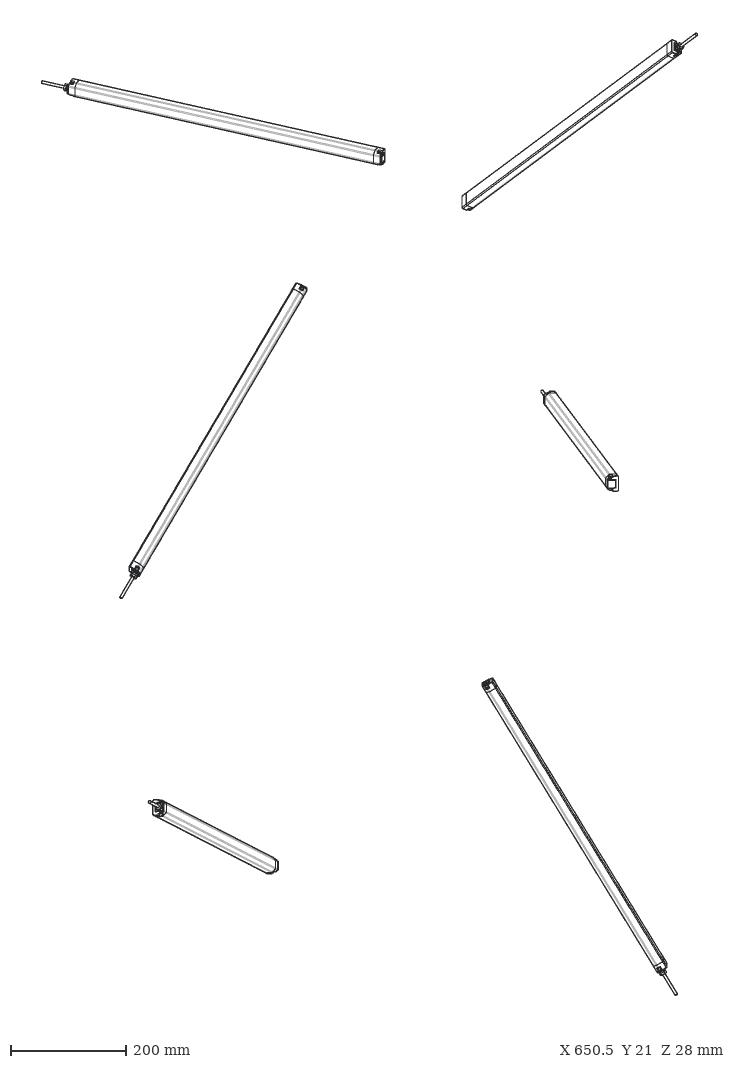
import cadquery as cq

total_length = 650.5
bar_length = 600.0
bar_height = 28.0
bar_depth = 21.0
front_y = -7.6

front_chamfer = 6.5
front_fillet = 2.8
back_chamfer = 2.0
profile_inset = 0.1

cap_length = 13.0
cap_end_chamfer = 0.8
plate_thickness = 2.5
plate_chamfer = 1.2
plate_height = 15.6
plate_front_gap = 0.2
plate_back_y = 8.0

pocket_length = 7.5
pocket_back_y = 3.2
pocket_depth = 3.0
screw_hole_diameter = 4.5
screw_hole_depth = 2.0

cable_diameter = 5.0
nut_corner_diameter = 12.4
nut_length = 4.0
collar_diameter = 9.5
collar_length = 3.0

half_height = bar_height / 2
back_y = front_y + bar_depth
bar_start = total_length - bar_length
left_end = bar_start + plate_thickness
right_end = total_length - plate_thickness
plate_front_y = front_y + plate_front_gap
pocket_floor_z = half_height - pocket_depth
pocket_front_y = front_y + front_chamfer - pocket_depth


def make_box(x_range, y_range, z_range):
    """Box between two limits on each axis."""
    sizes = [high - low for low, high in (x_range, y_range, z_range)]
    return (
        cq.Workplane("XY", origin=(x_range[0], y_range[0], z_range[0]))
        .box(*sizes, centered=False)
    )


def make_bar_section(x_range, inset=0.0):
    """Length of bar with rounded front chamfers and plain back chamfers."""
    z_limit = half_height - inset
    section = make_box(x_range, (front_y + inset, back_y - inset), (-z_limit, z_limit))
    section = section.edges("|X and <Y").chamfer(front_chamfer)
    section = section.edges("|X").edges("not >Y").fillet(front_fillet)
    return section.edges("|X and >Y").chamfer(back_chamfer)


def make_pocket_cutter(x_range, side):
    """Corner pocket with a screw hole in its floor; side is +1 for top, -1 for bottom."""
    pocket = make_box(x_range, (front_y, pocket_back_y), (pocket_floor_z, half_height))
    hole_center = (sum(x_range) / 2, (pocket_front_y + pocket_back_y) / 2)
    screw_hole = (
        cq.Workplane("XY", origin=(*hole_center, pocket_floor_z))
        .circle(screw_hole_diameter / 2)
        .extrude(-screw_hole_depth)
    )
    cutter = pocket.union(screw_hole)
    return cutter if side > 0 else cutter.mirror("XY")


def make_cap(x_range, outer_face, pocket_range):
    """End cap with a chamfered outer end and a screw pocket in both front corners."""
    cap = make_bar_section(x_range).faces(outer_face).chamfer(cap_end_chamfer)
    for side in (1, -1):
        cap = cap.cut(make_pocket_cutter(pocket_range, side))
    return cap


def make_plate(x_range, outer_face):
    """End plate with its outer rim chamfered."""
    z_limit = plate_height / 2
    plate = make_box(x_range, (plate_front_y, plate_back_y), (-z_limit, z_limit))
    return plate.faces(outer_face).chamfer(plate_chamfer)


def make_housing():
    """Long profile with a cap and an end plate at each end."""
    left_seam = left_end + cap_length
    right_seam = right_end - cap_length
    housing = make_bar_section((left_seam, right_seam), profile_inset)
    housing = housing.union(make_cap((left_end, left_seam), "<X", (left_end, left_end + pocket_length)))
    housing = housing.union(make_cap((right_seam, right_end), ">X", (right_end - pocket_length, right_end)))
    housing = housing.union(make_plate((bar_start, left_end), "<X"))
    return housing.union(make_plate((right_end, total_length), ">X"))


def make_cable():
    """Cable running in -X from the left end plate, with its hexagonal gland nut and collar."""
    collar_start = bar_start - collar_length
    nut_start = collar_start - nut_length
    cable = cq.Workplane("YZ").circle(cable_diameter / 2).extrude(bar_start)
    nut = cq.Workplane("YZ", origin=(nut_start, 0, 0)).polygon(6, nut_corner_diameter).extrude(nut_length)
    collar = (
        cq.Workplane("YZ", origin=(collar_start, 0, 0))
        .circle(collar_diameter / 2)
        .extrude(collar_length)
    )
    return cable.union(nut).union(collar)


housing = make_housing()
cable = make_cable()

result = cq.Compound.makeCompound([housing.val(), cable.val()])